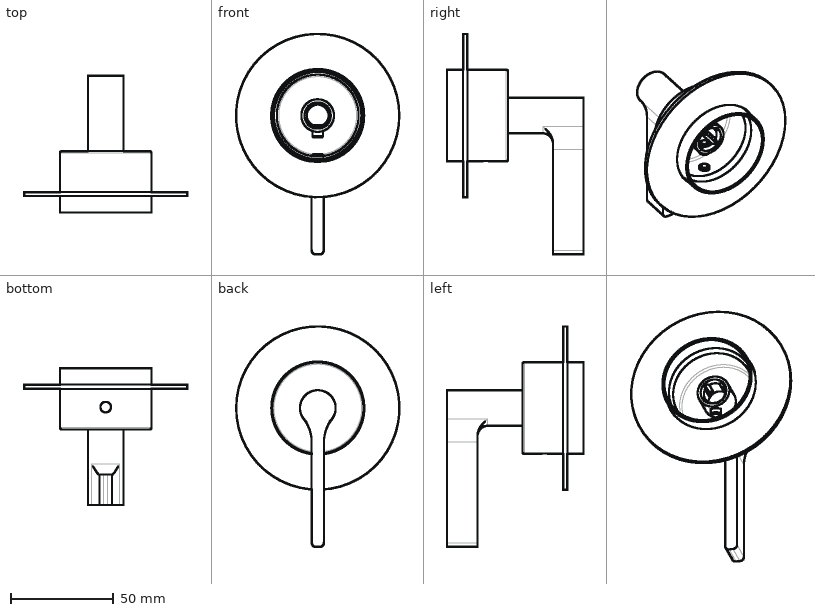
import cadquery as cq
import math


plate_diameter = 80.0
plate_thickness = 2.0
plate_front = 8.0
plate_clearance = 0.2

housing_diameter = 44.9
housing_length = 30.0
floor_thickness = 2.0
mouth_diameter = 42.8
mouth_depth = 9.8
inner_diameter = 40.1
step_end = 13.0
edge_radius = 1.0

lever_end = 67.0
stem_diameter = 17.5
arm_depth = 15.0
arm_width = 6.0
overall_height = 108.0
arm_tip_radius = 2.0
flare_radius = 18.0
blend_radius = 5.0

hub_diameter = 16.0
hub_front = 14.0
socket_mouth_diameter = 12.8
socket_bore_diameter = 10.7
socket_countersink_depth = 2.0
socket_square = 9.4
socket_square_depth = 10.0
socket_bore_depth = 12.0
drill_point_angle = 118.0

screw_y = 19.0
screw_diameter = 5.2
screw_bottom = -10.7
screw_tip = -4.5
screw_chamfer_height = 0.6
screw_chamfer_width = 0.4
dog_diameter = 3.2
dog_length = 2.0
plug_top = -18.9
plug_chamfer = 0.4
plug_recess_diameter = 3.9
plug_recess_depth = 2.0

housing_radius = housing_diameter / 2
stem_radius = stem_diameter / 2
arm_front = lever_end - arm_depth
arm_bottom = plate_diameter / 2 - overall_height


def rod(diameter, y_start, y_end):
    """Cylinder along Y between two Y positions."""
    return cq.Workplane("XZ", origin=(0, y_start, 0)).circle(diameter / 2).extrude(y_start - y_end)


def post(diameter, z_start, z_end):
    """Vertical cylinder on the screw line between two Z positions."""
    return cq.Workplane("XY", origin=(0, screw_y, z_start)).circle(diameter / 2).extrude(z_end - z_start)


def turned(points):
    """Solid of revolution about Y from (radius, y) points."""
    return cq.Workplane("XY").polyline(points).close().revolve(360, (0, 0, 0), (0, 1, 0))


def make_plate():
    """Flat disc with a clearance hole around the housing."""
    plate_back = plate_front + plate_thickness
    hole_diameter = housing_diameter + 2 * plate_clearance
    return rod(plate_diameter, plate_front, plate_back).cut(rod(hole_diameter, plate_front, plate_back))


def make_housing():
    """Stepped cup with a rounded floor, a hole for the hub and a hole for the plug."""
    floor_y = housing_length - floor_thickness
    cavity = turned([
        (0, 0),
        (mouth_diameter / 2, 0),
        (mouth_diameter / 2, mouth_depth),
        (inner_diameter / 2, step_end),
        (inner_diameter / 2, floor_y),
        (0, floor_y),
    ]).faces(">Y").edges().fillet(edge_radius)
    body = rod(housing_diameter, 0, housing_length).faces(">Y").edges().fillet(edge_radius)
    hub_hole = rod(hub_diameter, floor_y, housing_length)
    plug_hole = post(screw_diameter, -housing_radius, plug_top)
    return body.cut(cavity).cut(hub_hole).cut(plug_hole)


def arm_profile(y_start, y_end):
    """Arm cross-section, flared at its root by arcs tangent to the stem and to the arm sides."""
    half_width = arm_width / 2
    center_x = half_width + flare_radius
    center_distance = stem_radius + flare_radius
    flare_z = -math.sqrt(center_distance**2 - center_x**2)
    stem_x = center_x * stem_radius / center_distance
    stem_z = flare_z * stem_radius / center_distance
    middle_angle = (math.pi + math.atan2(-flare_z, -center_x)) / 2
    middle_x = center_x + flare_radius * math.cos(middle_angle)
    middle_z = flare_z + flare_radius * math.sin(middle_angle)
    return (
        cq.Workplane("XZ", origin=(0, y_start, 0))
        .moveTo(-stem_x, stem_z)
        .threePointArc((-middle_x, middle_z), (-half_width, flare_z))
        .lineTo(-half_width, arm_bottom)
        .lineTo(half_width, arm_bottom)
        .lineTo(half_width, flare_z)
        .threePointArc((middle_x, middle_z), (stem_x, stem_z))
        .lineTo(0, 0)
        .close()
        .extrude(y_start - y_end)
    )


def make_root_blend():
    """Rounded transition from the stem to the front face of the arm."""
    blend_start = arm_front - blend_radius
    outer_radius = stem_radius + blend_radius
    middle = blend_radius * math.sqrt(0.5)
    ring = (
        cq.Workplane("XY")
        .moveTo(0, blend_start)
        .lineTo(stem_radius, blend_start)
        .threePointArc((outer_radius - middle, blend_start + middle), (outer_radius, arm_front))
        .lineTo(0, arm_front)
        .close()
        .revolve(360, (0, 0, 0), (0, 1, 0))
    )
    return ring.intersect(arm_profile(blend_start, arm_front))


def make_socket():
    """Countersunk drilled bore combined with a square broach."""
    bore_radius = socket_bore_diameter / 2
    bore_end = hub_front + socket_bore_depth
    point_length = bore_radius / math.tan(math.radians(drill_point_angle / 2))
    bore = turned([
        (0, hub_front),
        (socket_mouth_diameter / 2, hub_front),
        (bore_radius, hub_front + socket_countersink_depth),
        (bore_radius, bore_end),
        (0, bore_end + point_length),
    ])
    square = (
        cq.Workplane("XZ", origin=(0, hub_front, 0))
        .rect(socket_square, socket_square)
        .extrude(-socket_square_depth)
    )
    return bore.union(square)


def make_lever():
    """Stem, hub and flared arm in one piece, with the socket and the clamping screw hole."""
    stem = rod(stem_diameter, housing_length, lever_end)
    hub = rod(hub_diameter, hub_front, housing_length)
    arm = arm_profile(arm_front, lever_end).faces("<Z").edges("|Y").fillet(arm_tip_radius)
    screw_hole = post(screw_diameter, screw_bottom, 0)
    return stem.union(hub).union(arm).union(make_root_blend()).cut(make_socket()).cut(screw_hole)


def make_grub_screw():
    """Plain shank with a tapered outer end and a dog point that reaches into the socket."""
    dog_start = screw_tip - dog_length
    chamfer_top = screw_bottom + screw_chamfer_height
    end_radius = screw_diameter / 2 - screw_chamfer_width
    screw_end = cq.Workplane("XY").add(
        cq.Solid.makeCone(
            end_radius, screw_diameter / 2, screw_chamfer_height, pnt=cq.Vector(0, screw_y, screw_bottom)
        )
    )
    shank = post(screw_diameter, chamfer_top, dog_start)
    dog = post(dog_diameter, dog_start, screw_tip)
    return screw_end.union(shank).union(dog)


def make_plug():
    """Recessed plug whose outer end follows the round housing wall."""
    plug = post(screw_diameter, -housing_radius, plug_top).faces(">Z").edges().chamfer(plug_chamfer)
    recess = post(plug_recess_diameter, plug_top - plug_recess_depth, plug_top)
    return plug.cut(recess).intersect(rod(housing_diameter, 0, housing_length))


bodies = [make_plate(), make_housing(), make_lever(), make_grub_screw(), make_plug()]

result = cq.Compound.makeCompound([body.solids().val() for body in bodies])